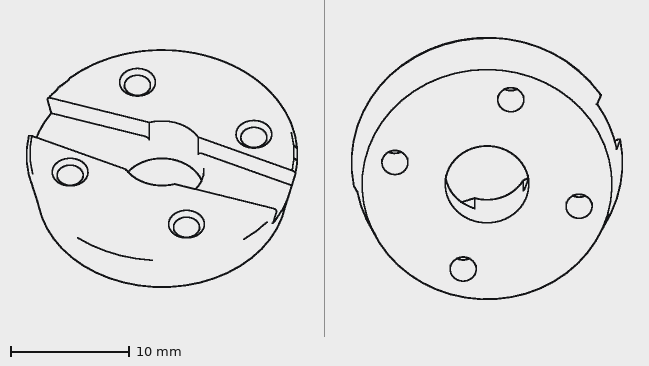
import cadquery as cq
import math

height = 5.0
bottom_radius = 10.56
top_radius = 11.52
edge_round = 0.3

bore_radius = 3.53

slot_depth = 2.0
slot_half_width = 2.89
slot_taper = 3.5
slot_direction = 8.8
slot_reach = 13.75

hole_spacing = 11.36
hole_radius = 1.1
countersink_radius = 1.51

slot_floor = height - slot_depth


def make_body():
    """Cone frustum, wider at the top, with a rounded upper rim."""
    profile = [(0, 0), (bottom_radius, 0), (top_radius, height), (0, height)]
    body = cq.Workplane("XZ").polyline(profile).close().revolve(360, (0, 0, 0), (0, 1, 0))
    return body.faces(">Z").edges().fillet(edge_round)


def slot_prism(bottom, top):
    """Slot footprint, widest at the part axis, extruded between two heights."""
    end_half_width = slot_half_width - slot_reach * math.tan(math.radians(slot_taper))
    outline = [
        (-slot_reach, end_half_width),
        (0, slot_half_width),
        (slot_reach, end_half_width),
        (slot_reach, -end_half_width),
        (0, -slot_half_width),
        (-slot_reach, -end_half_width),
    ]
    prism = cq.Workplane("XY").workplane(offset=bottom).polyline(outline).close().extrude(top - bottom)
    return prism.rotate((0, 0, 0), (0, 0, 1), slot_direction)


def bore_rounding():
    """Material removed to round the bore edge where it meets the slot floor."""
    center_radius = bore_radius + edge_round
    center_height = slot_floor - edge_round
    arc_offset = edge_round * math.sqrt(0.5)
    arc_middle = (center_radius - arc_offset, center_height + arc_offset)
    flare = (
        cq.Workplane("XZ")
        .moveTo(0, center_height)
        .lineTo(bore_radius, center_height)
        .threePointArc(arc_middle, (center_radius, slot_floor))
        .lineTo(0, slot_floor)
        .close()
        .revolve(360, (0, 0, 0), (0, 1, 0))
    )
    return flare.intersect(slot_prism(center_height, slot_floor))


def drill_screw_holes(body):
    """Through holes with 45 degree chamfered mouths."""
    chamfer_depth = countersink_radius - hole_radius
    half_spacing = hole_spacing / 2
    for x in (-half_spacing, half_spacing):
        for y in (-half_spacing, half_spacing):
            hole = cq.Workplane("XY").center(x, y).circle(hole_radius).extrude(height)
            mouth = cq.Workplane(
                cq.Solid.makeCone(
                    hole_radius, countersink_radius, chamfer_depth, cq.Vector(x, y, height - chamfer_depth)
                )
            )
            body = body.cut(hole).cut(mouth)
    return body


result = make_body()
result = result.cut(cq.Workplane("XY").circle(bore_radius).extrude(height))
result = result.cut(slot_prism(slot_floor, height))
result = result.cut(bore_rounding())
result = drill_screw_holes(result)